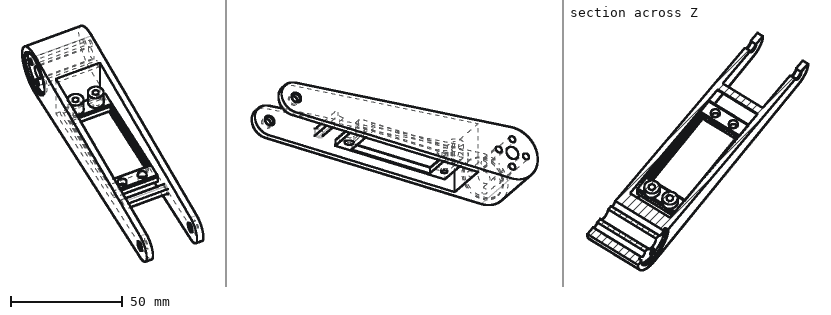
import cadquery as cq
import math

overall_length = 130.5
hub_diameter = 26.0
hub_radius = hub_diameter / 2
tip_diameter = 15.0
tip_radius = tip_diameter / 2
axis_distance = overall_length - hub_radius - tip_radius
arm_width = 28.0
wall = 3.1
gap_width = arm_width - 2 * wall
gap_start = 15.8
taper = math.asin((hub_radius - tip_radius) / axis_distance)

recess_diameter = 20.0
recess_depth = 1.6
rim_chamfer = 0.4
hub_bore = 6.0
screw_hole = 3.0
screw_circle_radius = 6.9
tip_bore = 4.0

pin_x = 84.8
pin_size = 4.0
pin_slope = 12
pin_fillet = 0.4

frame_left = 20.5
frame_right = 76.3
frame_top = -4.5
frame_thickness = 3.7
edge_chamfer = 0.7
window_left = 28.7
window_right = 68.5
rail_width = 1.0
post_x = 24.0
post_height = 6.5
post_diameter = 7.0
post_bore = 2.7
clearance_x = 72.4
clearance_hole = 4.0
hole_offset_y = 5.0


def y_cylinder(x, z, diameter, y_start, length):
    """Cylinder along +Y starting at y_start."""
    circle = cq.Workplane("XZ", origin=(0, y_start, 0)).center(x, z).circle(diameter / 2)
    return circle.extrude(-length)


def rim_cone(x, diameter, face_y, inward):
    """Chamfer cutter for a bore rim on a face normal to Y; inward is the +1 or -1 direction of depth."""
    radius = diameter / 2
    profile = (
        cq.Workplane("XY")
        .moveTo(0, face_y)
        .lineTo(radius + rim_chamfer, face_y)
        .lineTo(radius, face_y + inward * rim_chamfer)
        .lineTo(0, face_y + inward * rim_chamfer)
        .close()
    )
    return profile.revolve(360, (0, 0, 0), (0, 1, 0)).translate((x, 0, 0))


def make_outline():
    """Tapered arm profile as a solid across the full width."""
    def tangent_point(centre_x, radius, side):
        return (centre_x + radius * math.sin(taper), side * radius * math.cos(taper))

    profile = (
        cq.Workplane("XZ", origin=(0, -arm_width / 2, 0))
        .moveTo(*tangent_point(0, hub_radius, -1))
        .threePointArc((-hub_radius, 0), tangent_point(0, hub_radius, 1))
        .lineTo(*tangent_point(axis_distance, tip_radius, 1))
        .threePointArc((axis_distance + tip_radius, 0), tangent_point(axis_distance, tip_radius, -1))
        .close()
    )
    return profile.extrude(-arm_width)


def make_fork():
    """Solid hub with two side walls and the hub and tip bores."""
    gap_length = axis_distance + tip_radius - gap_start
    gap = cq.Workplane("XY").box(gap_length, gap_width, hub_diameter).translate(
        (gap_start + gap_length / 2, 0, 0)
    )
    near_face = -arm_width / 2
    fork = make_outline().cut(gap)
    fork = fork.cut(y_cylinder(0, 0, recess_diameter, near_face, recess_depth))
    fork = fork.cut(rim_cone(0, recess_diameter, near_face, 1))
    fork = fork.cut(y_cylinder(0, 0, hub_bore, near_face, arm_width))
    for quarter in range(4):
        angle = quarter * math.pi / 2
        x = screw_circle_radius * math.cos(angle)
        z = screw_circle_radius * math.sin(angle)
        fork = fork.cut(y_cylinder(x, z, screw_hole, near_face, arm_width))
    for side in (-1, 1):
        fork = fork.cut(rim_cone(axis_distance, tip_bore, side * arm_width / 2, -side))
        fork = fork.cut(rim_cone(axis_distance, tip_bore, side * gap_width / 2, side))
    return fork.cut(y_cylinder(axis_distance, 0, tip_bore, near_face, arm_width))


def add_pin(fork):
    """Bar between the walls, round toward the hub and tapering to a flat edge toward the tip."""
    radius = pin_size / 2
    half = gap_width / 2
    slope = math.radians(pin_slope)
    tangent_x = radius * math.sin(slope)
    tangent_z = radius * math.cos(slope)
    edge_z = tangent_z - (radius - tangent_x) * math.tan(slope)
    bar = (
        cq.Workplane("XZ", origin=(pin_x, -half, 0))
        .moveTo(radius, -edge_z)
        .lineTo(tangent_x, -tangent_z)
        .threePointArc((-radius, 0), (tangent_x, tangent_z))
        .lineTo(radius, edge_z)
        .close()
        .extrude(-gap_width)
    )
    fork = fork.union(bar)
    for side in (-1, 1):
        joint = cq.selectors.BoxSelector(
            (pin_x - pin_size, side * half - pin_fillet, -pin_size),
            (pin_x + pin_size, side * half + pin_fillet, pin_size),
            boundingbox=True,
        )
        fork = fork.edges(joint).fillet(pin_fillet)
    return fork


def make_frame():
    """Rectangular mounting frame with two hollow posts and two clearance holes."""
    bottom = frame_top - frame_thickness
    base = cq.Workplane("XY", origin=(0, 0, bottom))
    window_length = window_right - window_left
    frame = (
        base.center((frame_left + frame_right) / 2, 0)
        .rect(frame_right - frame_left, gap_width)
        .extrude(frame_thickness)
    )
    window = (
        base.center((window_left + window_right) / 2, 0)
        .rect(window_length, gap_width - 2 * rail_width)
        .extrude(frame_thickness)
    )
    frame = frame.faces(">Z").edges("|Y").chamfer(edge_chamfer).cut(window)
    frame = frame.faces(">Z").wires(cq.selectors.LengthNthSelector(0)).chamfer(edge_chamfer)
    for y in (-hole_offset_y, hole_offset_y):
        post = base.center(post_x, y)
        full_height = frame_thickness + post_height
        frame = frame.union(post.circle(post_diameter / 2).extrude(full_height))
        frame = frame.cut(post.circle(post_bore / 2).extrude(full_height))
        frame = frame.cut(base.center(clearance_x, y).circle(clearance_hole / 2).extrude(frame_thickness))
    return frame.rotate((0, 0, 0), (0, 1, 0), -math.degrees(taper))


result = add_pin(make_fork()).union(make_frame())